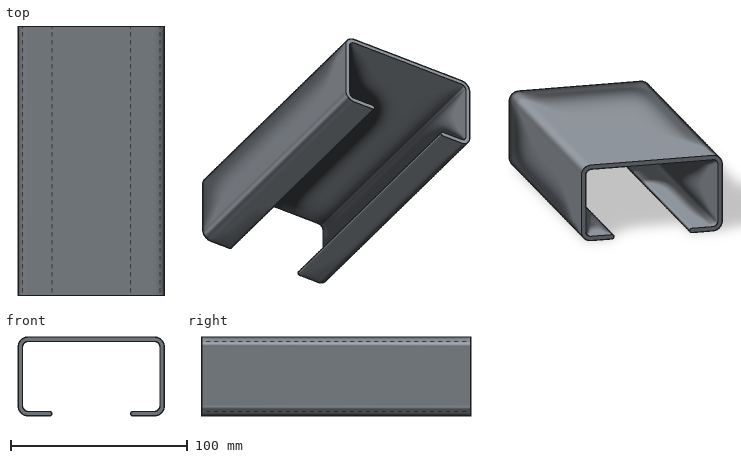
import cadquery as cq

width = 82.8
height = 44.7
length = 152.4
wall = 2.6
outer_radius = 5.7
slot_width = 44.45

inner_radius = outer_radius - wall
lip_end_radius = wall / 2
lip_end_x = slot_width / 2 + lip_end_radius
lip_centre_z = -height / 2 + lip_end_radius


def rounded_bar(bar_width, bar_height, corner_radius):
    """Bar along Y, centred on the origin, with its four long edges rounded."""
    bar = cq.Workplane("XY").box(bar_width, length, bar_height)
    return bar.edges("|Y").fillet(corner_radius)


def slot_cutter():
    """Block that opens the lower wall, up to the axes of the rounded lip ends."""
    block = cq.Workplane("XY").box(2 * lip_end_x, length, wall)
    return block.translate((0, 0, lip_centre_z))


def lip_ends():
    """Full-length round rods that give both lips a semicircular free end."""
    end_centres = [(-lip_end_x, lip_centre_z), (lip_end_x, lip_centre_z)]
    rods = cq.Workplane("XZ").pushPoints(end_centres).circle(lip_end_radius)
    return rods.extrude(length / 2, both=True)


outer_bar = rounded_bar(width, height, outer_radius)
cavity = rounded_bar(width - 2 * wall, height - 2 * wall, inner_radius)
channel = outer_bar.cut(cavity).cut(slot_cutter())

result = channel.union(lip_ends()).clean()